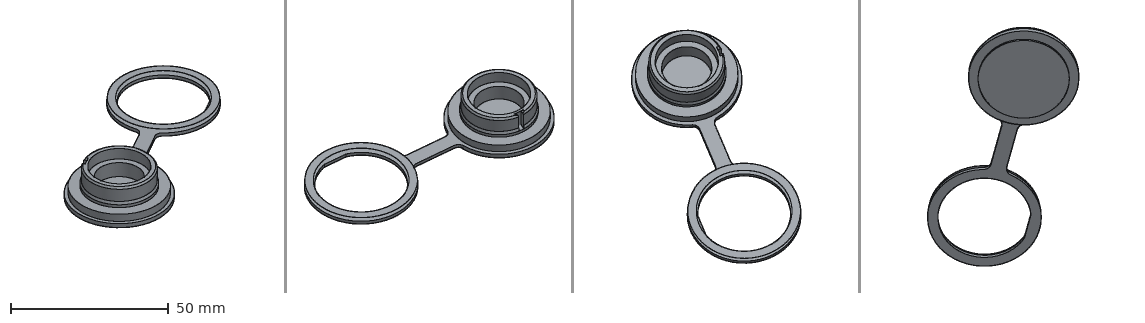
import cadquery as cq
import math

cap_height = 12.5
total_length = 89.3
flange_radius = 17.5
ring_radius = 18.0
ring_center_y = total_length - flange_radius - ring_radius

flange_bottom_z = 0.75
flange_top_z = 2.3
tier_top_z = 5.1
collar_top_z = 6.2
neck_bottom_z = 7.1
rim_chamfer_height = 0.7

base_radius = 14.5
tier_radius = 16.25
collar_radius = 12.5
neck_radius = 12.05
rim_chamfer_width = 0.5

upper_recess_radius = 10.0
upper_recess_depth = 4.0
lower_recess_radius = 7.95
lower_recess_depth = 5.4

slot_width = 1.9
slot_floor_radius = 10.8
slot_root_fillet = 0.8
lead_in_width = 0.8
lead_in_depth = 0.4

strap_thickness = 1.25
strap_width = 5.1
strap_fillet = 2.5
strap_bottom_z = flange_top_z - strap_thickness
ring_hole_radius = 14.7
ring_flat_x = 14.1

washer_thickness = 0.1
washer_bottom_z = 3.7
washer_radius = 17.9
washer_hole_radius = 15.2


def disc(radius, bottom_z, top_z, center_y=0.0):
    """Upright cylinder with its axis in the YZ plane."""
    return (
        cq.Workplane("XY", origin=(0, center_y, bottom_z))
        .circle(radius)
        .extrude(top_z - bottom_z)
    )


def cap_body():
    """Turned outer shape of the cap, without recess or slot."""
    return (
        cq.Workplane("XZ")
        .moveTo(0, 0)
        .lineTo(base_radius, 0)
        .lineTo(base_radius, flange_bottom_z)
        .lineTo(flange_radius, flange_bottom_z)
        .lineTo(flange_radius, flange_top_z)
        .lineTo(tier_radius, flange_top_z)
        .lineTo(tier_radius, tier_top_z)
        .lineTo(collar_radius, tier_top_z)
        .lineTo(collar_radius, collar_top_z)
        .lineTo(neck_radius, neck_bottom_z)
        .lineTo(neck_radius, cap_height - rim_chamfer_height)
        .lineTo(neck_radius - rim_chamfer_width, cap_height)
        .lineTo(0, cap_height)
        .close()
        .revolve(360, (0, 0, 0), (0, 1, 0))
    )


def recess():
    """Two-step round recess cut from the top of the cap."""
    step_z = cap_height - upper_recess_depth
    floor_z = step_z - lower_recess_depth
    upper = disc(upper_recess_radius, step_z, cap_height)
    lower = disc(lower_recess_radius, floor_z, step_z)
    return upper.union(lower)


def key_slot():
    """Slot with a curved floor, a rounded root and a flared mouth at the rim."""
    root_center_r = slot_floor_radius + slot_root_fillet
    root_center_z = collar_top_z + slot_root_fillet
    diagonal = slot_root_fillet * math.sqrt(0.5)
    sweep = (
        cq.Workplane("XZ")
        .moveTo(slot_floor_radius, cap_height)
        .lineTo(slot_floor_radius, root_center_z)
        .threePointArc(
            (root_center_r - diagonal, root_center_z - diagonal),
            (root_center_r, collar_top_z),
        )
        .lineTo(collar_radius, collar_top_z)
        .lineTo(collar_radius, cap_height)
        .close()
        .revolve(360, (0, 0, 0), (0, 1, 0))
    )
    half_width = slot_width / 2
    mouth_half_width = half_width + lead_in_width
    lead_in_z = cap_height - lead_in_depth
    opening = (
        cq.Workplane("YZ")
        .moveTo(-half_width, collar_top_z)
        .lineTo(half_width, collar_top_z)
        .lineTo(half_width, lead_in_z)
        .lineTo(mouth_half_width, cap_height)
        .lineTo(-mouth_half_width, cap_height)
        .lineTo(-half_width, lead_in_z)
        .close()
        .extrude(-collar_radius)
    )
    return sweep.intersect(opening)


def strap_and_ring():
    """Flat strap blended into the flange and into the retaining ring."""
    strap = cq.Workplane("XY", origin=(0, ring_center_y / 2, strap_bottom_z)).box(
        strap_width, ring_center_y, strap_thickness, centered=(True, True, False)
    )
    flange_pad = disc(flange_radius, strap_bottom_z, flange_top_z)
    ring_pad = disc(ring_radius, strap_bottom_z, flange_top_z, ring_center_y)
    strap_zone = cq.selectors.BoxSelector(
        (-strap_width, flange_radius / 2, 0),
        (strap_width, ring_center_y - ring_radius / 2, cap_height),
    )
    blank = strap.union(flange_pad).union(ring_pad)
    blank = blank.edges("|Z").edges(strap_zone).fillet(strap_fillet)
    return blank.cut(ring_hole())


def ring_hole():
    """Round hole of the retaining ring with a flat on its +X side."""
    hole = disc(ring_hole_radius, strap_bottom_z, flange_top_z, ring_center_y)
    flat_limit = cq.Workplane("XY", origin=(ring_flat_x, ring_center_y, strap_bottom_z)).box(
        2 * ring_radius, 2 * ring_radius, strap_thickness, centered=(False, True, False)
    )
    return hole.cut(flat_limit)


def tethered_cap():
    """Cap, strap and retaining ring as one solid."""
    return cap_body().union(strap_and_ring()).cut(recess()).cut(key_slot())


def washer():
    """Thin washer concentric with the retaining ring."""
    top_z = washer_bottom_z + washer_thickness
    blank = disc(washer_radius, washer_bottom_z, top_z, ring_center_y)
    return blank.cut(disc(washer_hole_radius, washer_bottom_z, top_z, ring_center_y))


result = cq.Compound.makeCompound([tethered_cap().val(), washer().val()])